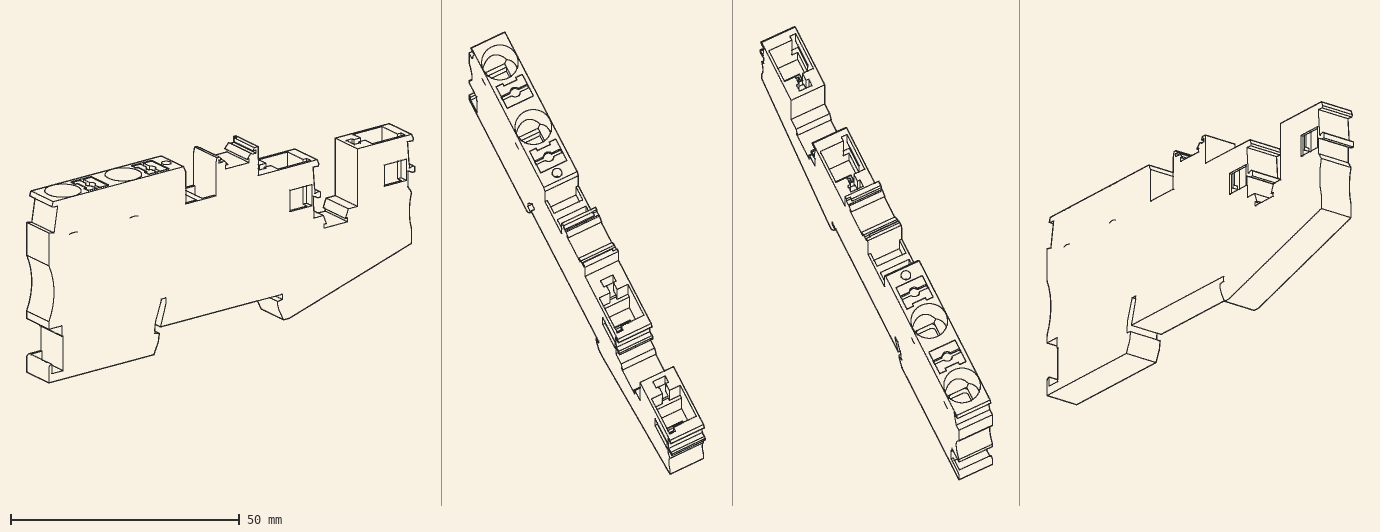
import cadquery as cq


WIDTH = 8.2
LENGTH = 99.8
HEIGHT = 42.2
WALL = 0.6
HALF_INNER = WIDTH / 2 - WALL

RAIL_Z = 6.1
SLIT_TOP_Z = 12.6
VALLEY_FLOOR_Z = 19.0
VALLEY_SHOULDER_Z = 22.0
DECK_Z = 33.3
TOWER_Z = 35.4
SADDLE_FLOOR_Z = 39.0

BLOCK_BACK_Y = 37.3
SADDLE_FRONT_Y = 45.5
SADDLE_BACK_Y = 57.1
VALLEY_BACK_Y = 84.2
BACK_FACE_Y = 98.9
TOWER_PITCH = 25.8
TOWER_BACK_YS = (LENGTH - TOWER_PITCH, LENGTH)

GROOVE_HALF = 3.2
GROOVE_LIP_HALF = 2.6
GROOVE_LIP_RISE = 0.9
SADDLE_GROOVE_Y = 51.4
VALLEY_GROOVE_Y = 78.3

FRONT_BARB_Y = 46.4
BACK_BARB_Y = 56.5
BARB_REACH = 0.9
BARB_TRIM_WIDTH = 1.0
BARB_TROUGH_Z = 40.8

FOOT_TOP_Z = 4.2
FOOT_RECESS_Y = 3.9
FOOT_LIP_RADIUS = 0.8
FOOT_SIDE_WALL = 0.5
FOOT_TROUGH_DEPTH = 2.2

SOCKET_BACK = 3.3
SOCKET_FRONT = 10.5
SOCKET_LEDGE = 11.2
SOCKET_FLOOR_Z = 20.0
SOCKET_LEDGE_Z = 28.0
KEY_BACK = 2.3
KEY_WIDTH = 1.4
CONTACT_WIDTH = 4.8
CONTACT_BACK = 6.5
CONTACT_LENGTH = 1.4
CONTACT_RIM = 0.4
CONTACT_RIM_DEPTH = 0.5
CONTACT_DEPTH = 3.0
WINDOW_LENGTH = 6.0
WINDOW_BOTTOM_Z = 25.0
WINDOW_TOP_Z = 29.9
STEM_STEP = 0.6
STEM_WIDTH = 1.7
BAR_WIDTH = 3.0
BAR_BACK = 13.0
BAR_FRONT = 14.6
TEE_DEPTH = 6.0

DECK_POCKET_LENGTH = 3.3
DECK_POCKET_DEPTH = 6.0

ENTRY_YS = (6.9, 23.4)
ENTRY_DIAMETER = 8.2
ENTRY_RIM = 0.1
MOUTH_DEPTH = 6.0
FUNNEL_DEPTH = 5.0
FUNNEL_END_RUN = 2.0
FUNNEL_SIDE_RUN = 3.5
THROAT_WIDTH = 4.6
THROAT_FRONT = -2.3
THROAT_BACK = 2.4
THROAT_CORNER = 0.9
THROAT_DEPTH = 14.0
THROAT_STEP = 0.9
THROAT_STEP_DEPTH = 11.0
BUTTON_WIDTH = 6.4
BUTTON_FRONT = 4.6
BUTTON_BACK = 10.1
BUTTON_RECESS = 0.2
BUTTON_TAB_WIDTH = 3.2
BUTTON_TAB_LENGTH = 0.6
DRIVER_SLOT_OFFSET = 7.5
DRIVER_SLOT_WIDTH = 0.9
DRIVER_HOLE_DIAMETER = 2.2
DRIVER_DEPTH = 1.2
TEST_HOLE_Y = 35.0
TEST_HOLE_DIAMETER = 2.1
TEST_HOLE_DEPTH = 6.0


def snap_groove(center, floor_z, shoulder_half, shoulder_z):
    """Undercut groove, listed from front to back."""
    lip_z = floor_z + GROOVE_LIP_RISE
    front = [
        (-shoulder_half, shoulder_z),
        (-GROOVE_LIP_HALF, lip_z),
        (-GROOVE_HALF, lip_z),
        (-GROOVE_HALF, floor_z),
    ]
    back = [(-y, z) for y, z in reversed(front)]
    return [(center + y, z) for y, z in front + back]


def tower_back(tip_y):
    """Hooked top edge and latch nose on the back of a tower, from top to bottom."""
    points = [
        (0.9, TOWER_Z),
        (0.4, 34.3),
        (0.6, 33.8),
        (2.0, 33.9),
        (1.5, 27.7),
        (0.4, 28.0),
        (0.0, 27.7),
        (0.0, 26.5),
        (0.7, 26.5),
        (1.9, 27.1),
    ]
    return [(tip_y - inset, z) for inset, z in points]


def side_profile():
    """Closed outline in the YZ plane, from the front foot over the top and back along the underside."""
    foot_front = [
        (FOOT_RECESS_Y, FOOT_TOP_Z), (FOOT_RECESS_Y, 10.1), (3.6, 10.1), (3.6, SLIT_TOP_Z), (0, SLIT_TOP_Z),
    ]
    block = [
        (0, 35.1), (1.4, 34.8), (2.4, 40.9), (1.6, 40.9), (0.8, 41.1), (1.2, HEIGHT),
        (36.7, HEIGHT), (BLOCK_BACK_Y, 40.9), (BLOCK_BACK_Y, DECK_Z),
    ]
    saddle = [
        (SADDLE_FRONT_Y, DECK_Z), (SADDLE_FRONT_Y, 40.9), (45.8, HEIGHT), (46.5, HEIGHT),
        (47.2, 41.5), (FRONT_BARB_Y, 41.5), (FRONT_BARB_Y, BARB_TROUGH_Z), (47.3, BARB_TROUGH_Z),
        *snap_groove(SADDLE_GROOVE_Y, SADDLE_FLOOR_Z, 3.7, 41.1),
        (55.5, BARB_TROUGH_Z), (BACK_BARB_Y, BARB_TROUGH_Z), (BACK_BARB_Y, 41.5), (55.7, 41.5),
        (56.0, HEIGHT), (SADDLE_BACK_Y, HEIGHT), (SADDLE_BACK_Y, TOWER_Z),
    ]
    front_tower, back_tower = [tower_back(tip_y) for tip_y in TOWER_BACK_YS]
    valley = [
        (72.3, VALLEY_SHOULDER_Z),
        *snap_groove(VALLEY_GROOVE_Y, VALLEY_FLOOR_Z, 3.4, VALLEY_SHOULDER_Z),
        (VALLEY_BACK_Y, VALLEY_SHOULDER_Z), (VALLEY_BACK_Y, TOWER_Z),
    ]
    back_end = [(97.9, 23.4), (BACK_FACE_Y, 21.9)]
    rear_claw = [
        (BACK_FACE_Y, 9.9), (65.6, 0), (64.0, 0), (62.8, 2.5), (62.4, 3.9), (62.4, 4.7), (63.7, 4.9),
        (63.7, RAIL_Z),
    ]
    foot_slit = [
        (30.4, RAIL_Z), (31.9, 11.4), (31.9, SLIT_TOP_Z), (30.7, SLIT_TOP_Z), (29.1, 7.6), (28.9, 4.9),
    ]
    front_claw = [(30.1, 4.7), (29.8, 2.7), (28.7, 0)]
    return (
        cq.Workplane("YZ")
        .lineTo(0, FOOT_TOP_Z - FOOT_LIP_RADIUS)
        .radiusArc((FOOT_LIP_RADIUS, FOOT_TOP_Z), FOOT_LIP_RADIUS)
        .polyline([*foot_front, (0, 14.4)], includeCurrent=True)
        .threePointArc((1.4, 20.9), (0, 27.5))
        .polyline([*block, *saddle, *front_tower, *valley, *back_tower, *back_end], includeCurrent=True)
        .threePointArc((98.3, 17.5), (BACK_FACE_Y, 13.2))
        .polyline([*rear_claw, *foot_slit, *front_claw], includeCurrent=True)
        .close()
    )


def block_between(x_range, y_range, z_range):
    """Axis-aligned box given by its limits."""
    sizes = [high - low for low, high in (x_range, y_range, z_range)]
    corner = (x_range[0], y_range[0], z_range[0])
    return cq.Workplane("XY").box(*sizes, centered=False).translate(corner)


def centered_cut(width, y_range, z_range):
    return block_between((-width / 2, width / 2), y_range, z_range)


def barb_trim(barb_range):
    return block_between((-WIDTH / 2, -WIDTH / 2 + BARB_TRIM_WIDTH), barb_range, (BARB_TROUGH_Z, HEIGHT))


def foot_trough():
    """Trough behind the foot lip, closed on the -X side and open on the +X side."""
    return block_between(
        (-WIDTH / 2 + FOOT_SIDE_WALL, WIDTH / 2),
        (FOOT_LIP_RADIUS, FOOT_RECESS_Y),
        (FOOT_TOP_Z - FOOT_TROUGH_DEPTH, FOOT_TOP_Z),
    )


def socket(tip_y):
    """Plug socket with key notch, contact slot, side window and T-shaped slot."""
    back = tip_y - SOCKET_BACK
    front = tip_y - SOCKET_FRONT
    ledge = tip_y - SOCKET_LEDGE
    key_back = tip_y - KEY_BACK
    contact_y = (tip_y - CONTACT_BACK - CONTACT_LENGTH, tip_y - CONTACT_BACK)
    slot_width = CONTACT_WIDTH - 2 * CONTACT_RIM
    slot_y = (contact_y[0] + CONTACT_RIM, contact_y[1] - CONTACT_RIM)
    bar_back = tip_y - BAR_BACK
    tee_z = (TOWER_Z - TEE_DEPTH, TOWER_Z)

    cavity = centered_cut(2 * HALF_INNER, (front, back), (SOCKET_FLOOR_Z, TOWER_Z))
    front_ledge = centered_cut(2 * HALF_INNER, (ledge, front), (SOCKET_LEDGE_Z, TOWER_Z))
    key = block_between((HALF_INNER - KEY_WIDTH, HALF_INNER), (back, key_back), (WINDOW_BOTTOM_Z, TOWER_Z))
    window = block_between(
        (HALF_INNER, WIDTH / 2),
        (key_back - WINDOW_LENGTH, key_back),
        (WINDOW_BOTTOM_Z, WINDOW_TOP_Z),
    )
    rim = centered_cut(CONTACT_WIDTH, contact_y, (SOCKET_FLOOR_Z - CONTACT_RIM_DEPTH, SOCKET_FLOOR_Z))
    slot = centered_cut(slot_width, slot_y, (SOCKET_FLOOR_Z - CONTACT_DEPTH, SOCKET_FLOOR_Z))
    stem_step = centered_cut(STEM_WIDTH, (ledge - STEM_STEP, ledge), (SOCKET_LEDGE_Z, TOWER_Z))
    stem = centered_cut(STEM_WIDTH, (bar_back, ledge), tee_z)
    bar = centered_cut(BAR_WIDTH, (tip_y - BAR_FRONT, bar_back), tee_z)

    cut = cavity
    for piece in (front_ledge, key, window, rim, slot, stem_step, stem, bar):
        cut = cut.union(piece)
    return cut


def deck_pockets():
    z_range = (DECK_Z - DECK_POCKET_DEPTH, DECK_Z)
    front_pocket = (BLOCK_BACK_Y, BLOCK_BACK_Y + DECK_POCKET_LENGTH)
    back_pocket = (SADDLE_FRONT_Y - DECK_POCKET_LENGTH, SADDLE_FRONT_Y)
    cut = centered_cut(2 * HALF_INNER, front_pocket, z_range)
    return cut.union(centered_cut(2 * HALF_INNER, back_pocket, z_range))


def wire_entry(center_y):
    """Round mouth over four sloping walls that lead into a stepped throat."""
    throat_y = (center_y + THROAT_FRONT, center_y + THROAT_BACK)
    throat_length = throat_y[1] - throat_y[0]
    radius = ENTRY_DIAMETER / 2 - ENTRY_RIM

    throat = centered_cut(THROAT_WIDTH, throat_y, (HEIGHT - THROAT_DEPTH, HEIGHT))
    throat = throat.edges("|Z and >Y").fillet(THROAT_CORNER)
    step_y = (throat_y[0], throat_y[0] + THROAT_STEP)
    step = centered_cut(THROAT_WIDTH, step_y, (HEIGHT - THROAT_DEPTH, HEIGHT - THROAT_STEP_DEPTH))

    top = cq.Workplane("XY", origin=(0, center_y, HEIGHT))
    mouth = top.circle(radius).extrude(-MOUTH_DEPTH)
    bore = top.circle(radius).extrude(-MOUTH_DEPTH - FUNNEL_DEPTH)
    funnel = (
        cq.Workplane("XY", origin=(0, sum(throat_y) / 2, HEIGHT - MOUTH_DEPTH))
        .rect(THROAT_WIDTH + 2 * FUNNEL_SIDE_RUN, throat_length + 2 * FUNNEL_END_RUN)
        .workplane(offset=-FUNNEL_DEPTH)
        .rect(THROAT_WIDTH, throat_length)
        .loft()
    )
    return throat.cut(step).union(mouth).union(funnel.intersect(bore))


def release_button(entry_y):
    """Shallow recessed button face with a screwdriver slot and a centre hole."""
    front = entry_y + BUTTON_FRONT
    slot_y = entry_y + DRIVER_SLOT_OFFSET
    slot_z = (HEIGHT - DRIVER_DEPTH, HEIGHT)
    half_slot = DRIVER_SLOT_WIDTH / 2
    recess_z = (HEIGHT - BUTTON_RECESS, HEIGHT)

    face = centered_cut(BUTTON_WIDTH, (front, entry_y + BUTTON_BACK), recess_z)
    face = face.cut(centered_cut(BUTTON_TAB_WIDTH, (front, front + BUTTON_TAB_LENGTH), recess_z))
    slot = centered_cut(BUTTON_WIDTH, (slot_y - half_slot, slot_y + half_slot), slot_z)
    return face.union(slot).union(round_hole(slot_y, DRIVER_HOLE_DIAMETER, DRIVER_DEPTH))


def round_hole(center_y, diameter, depth):
    return cq.Workplane("XY", origin=(0, center_y, HEIGHT)).circle(diameter / 2).extrude(-depth)


result = side_profile().extrude(WIDTH / 2, both=True)

result = result.cut(foot_trough())
result = result.cut(barb_trim((FRONT_BARB_Y, FRONT_BARB_Y + BARB_REACH)))
result = result.cut(barb_trim((BACK_BARB_Y - BARB_REACH, BACK_BARB_Y)))

for tip_y in TOWER_BACK_YS:
    result = result.cut(socket(tip_y))

result = result.cut(deck_pockets())

for entry_y in ENTRY_YS:
    result = result.cut(wire_entry(entry_y)).cut(release_button(entry_y))

result = result.cut(round_hole(TEST_HOLE_Y, TEST_HOLE_DIAMETER, TEST_HOLE_DEPTH))